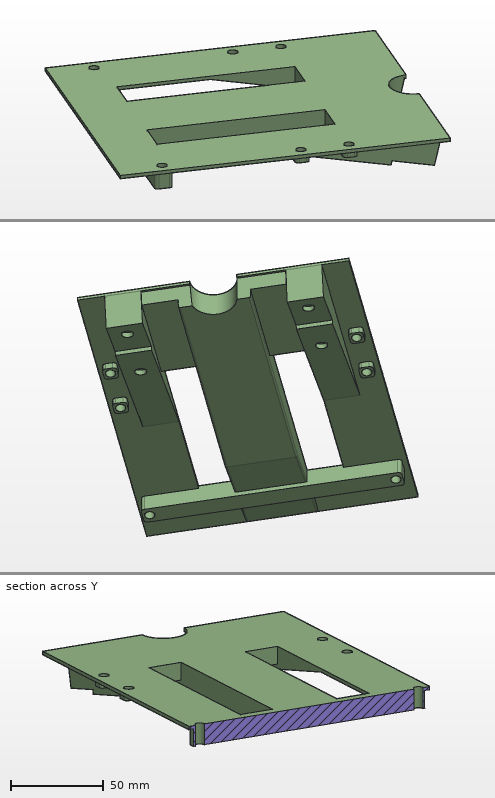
import cadquery as cq
import math


plate_width = 150.0
plate_length = 185.5
plate_thickness = 2.0
underside = -plate_thickness
notch_radius = 13.0

tilt = math.radians(13.0)

slot_width = 20.0
slot_length = 100.0
slot_front = 30.5
slot_back = slot_front + slot_length

rib_width = 40.0
rib_bottom = -15.0
rib_edge_radius = 1.0
slot_center_x = (rib_width + slot_width) / 2

foot_width = 20.0
foot_inner_x = rib_width / 2 + slot_width
foot_center_x = foot_inner_x + foot_width / 2
foot_tip_z = -22.03
foot_pad_length = 24.5
foot_step = 2.5
foot_height = (underside - foot_tip_z) / math.cos(tilt)
foot_slope_depth = foot_height + foot_step

rear_inset = 1.0

web_bottom = -10.0

pocket_diameter = 6.5
pocket_depth = 3.0
pad_pocket_distance = 9.0
slope_pocket_distance = 44.5

hole_diameter = 5.5
hole_x = 68.0
hole_rows = (25.5, 103.5, 130.5)
bar_y, *boss_rows = hole_rows
boss_size = 8.0
boss_bottom = -6.0
bar_width = 10.0
bar_bottom = -12.0
bar_length = 2 * hole_x + boss_size
corner_radius = 2.0


def box(width, y_front, y_back, z_bottom, z_top, x_center=0.0):
    """Block centred on x_center, spanning the given Y and Z limits."""
    return cq.Workplane("XY").box(
        width, y_back - y_front, z_top - z_bottom, centered=(True, False, False)
    ).translate((x_center, y_front, z_bottom))


def vertical_cutter(x_center, y_center, radius):
    """Cylinder that passes through the whole height of the part."""
    cylinder = cq.Workplane("XY").circle(radius).extrude(foot_tip_z)
    return cylinder.translate((x_center, y_center, 0))


def tilted_point(distance, depth):
    """(y, z) at a distance forward along the tilt and a depth square to it, from the rear edge."""
    y = plate_length - distance * math.cos(tilt) - depth * math.sin(tilt)
    z = underside + distance * math.sin(tilt) - depth * math.cos(tilt)
    return y, z


def rear_face_point(z):
    """(y, z) on the tilted rear face of the rib and the web."""
    y = plate_length - rear_inset - (underside - z) * math.tan(tilt)
    return y, z


def side_profile(points, width, x_center=0.0):
    """Extrude a (y, z) outline symmetrically about x_center."""
    profile = cq.Workplane("YZ").polyline(points).close()
    return profile.extrude(width / 2, both=True).translate((x_center, 0, 0))


def make_rib():
    flat_front_y = (underside - rib_bottom) / math.tan(tilt)
    outline = [
        (0, underside),
        rear_face_point(underside),
        rear_face_point(rib_bottom),
        (flat_front_y, rib_bottom),
    ]
    rib = side_profile(outline, rib_width)
    bottom_edges = rib.faces("<Z").edges("|Y")
    slope_edges = rib.faces("<Y").edges("not |X")
    return bottom_edges.add(slope_edges).fillet(rib_edge_radius)


def make_web():
    outline = [
        (slot_back, underside),
        rear_face_point(underside),
        rear_face_point(web_bottom),
        (slot_back, web_bottom),
    ]
    return side_profile(outline, 2 * foot_inner_x)


def make_foot(x_center):
    slope_end = foot_slope_depth / math.tan(tilt)
    outline = [
        tilted_point(0, 0),
        tilted_point(0, foot_height),
        tilted_point(foot_pad_length, foot_height),
        tilted_point(foot_pad_length, foot_slope_depth),
        tilted_point(slope_end, foot_slope_depth),
    ]
    return side_profile(outline, foot_width, x_center)


def make_pocket(x_center, distance, face_depth):
    y, z = tilted_point(distance, face_depth)
    into_foot = cq.Vector(0, math.sin(tilt), math.cos(tilt))
    return cq.Workplane(cq.Solid.makeCylinder(
        pocket_diameter / 2, pocket_depth, cq.Vector(x_center, y, z), into_foot
    ))


def make_boss(x_center, y_center, width, depth, z_bottom):
    boss = box(width, y_center - depth / 2, y_center + depth / 2, z_bottom, underside, x_center)
    return boss.edges("|Z").fillet(corner_radius)


def make_hole(x_center, y_center):
    return vertical_cutter(x_center, y_center, hole_diameter / 2)


def make_notch():
    return vertical_cutter(0, plate_length, notch_radius)


result = box(plate_width, 0, plate_length, underside, 0)
result = result.union(make_rib()).union(make_web())
result = result.union(make_boss(0, bar_y, bar_length, bar_width, bar_bottom))
for side in (-1, 1):
    result = result.union(make_foot(side * foot_center_x))
    for boss_y in boss_rows:
        result = result.union(make_boss(side * hole_x, boss_y, boss_size, boss_size, boss_bottom))

for side in (-1, 1):
    foot_x = side * foot_center_x
    result = result.cut(make_pocket(foot_x, pad_pocket_distance, foot_height))
    result = result.cut(make_pocket(foot_x, slope_pocket_distance, foot_slope_depth))
    result = result.cut(box(slot_width, slot_front, slot_back, underside, 0, side * slot_center_x))
    for hole_y in hole_rows:
        result = result.cut(make_hole(side * hole_x, hole_y))

result = result.cut(make_notch())